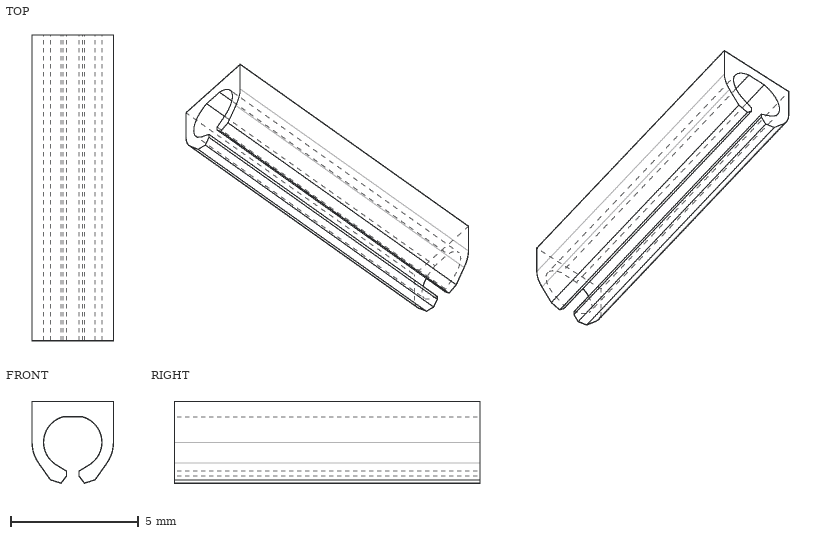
import cadquery as cq
import math

length = 12.0
width = 3.2
height = 3.22
top_z = 1.61
bottom_z = top_z - height
half_width = width / 2

bore_half_width = 1.14
bore_radius = 1.03
bore_flat_z = 1.0
bore_end_z = -0.85
bore_center_x = bore_half_width - bore_radius

flank_radius = 1.42
flank_end_z = -0.82
flank_center_x = half_width - flank_radius

slot_half_width = 0.24
lip_top_z = -1.13
lip_bottom_z = -1.32
tip_x = 0.45
heel_z = -1.48


def arc_x(center_x, radius, z):
    """X of the outer side of an arc centred on Z = 0."""
    return center_x + math.sqrt(radius**2 - z**2)


flank_end_x = arc_x(flank_center_x, flank_radius, flank_end_z)
flank_mid_z = flank_end_z / 2
flank_mid_x = arc_x(flank_center_x, flank_radius, flank_mid_z)
flank_slope = -flank_end_z / (flank_end_x - flank_center_x)
heel_x = flank_end_x - (flank_end_z - heel_z) * flank_slope
bore_flat_x = arc_x(bore_center_x, bore_radius, bore_flat_z)
bore_end_x = arc_x(bore_center_x, bore_radius, bore_end_z)

right_half = (
    cq.Workplane("XZ")
    .moveTo(0, top_z)
    .lineTo(half_width, top_z)
    .lineTo(half_width, 0)
    .threePointArc((flank_mid_x, flank_mid_z), (flank_end_x, flank_end_z))
    .lineTo(heel_x, heel_z)
    .lineTo(tip_x, bottom_z)
    .lineTo(slot_half_width, lip_bottom_z)
    .lineTo(slot_half_width, lip_top_z)
    .lineTo(bore_end_x, bore_end_z)
    .threePointArc((bore_half_width, 0), (bore_flat_x, bore_flat_z))
    .lineTo(0, bore_flat_z)
    .close()
    .extrude(length / 2, both=True)
)

result = right_half.union(right_half.mirror("YZ")).clean()